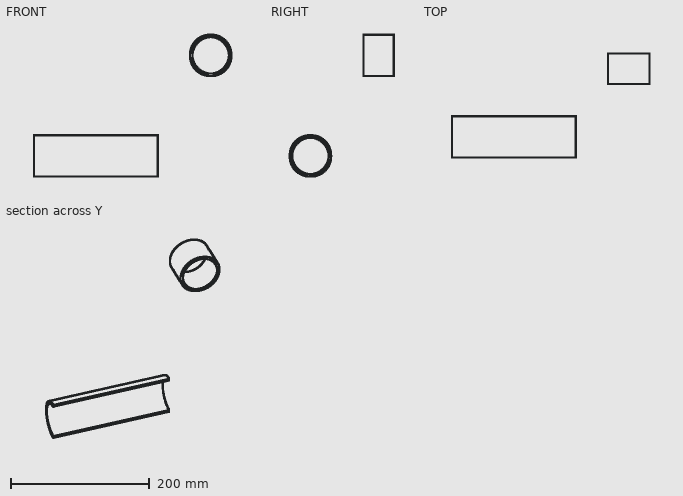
import cadquery as cq

outer_diameter = 60.2
bore_diameter = 52.5
outer_radius = outer_diameter / 2

long_tube_length = 178.8
short_tube_length = 44.2

overall_x = 285.2
overall_y = 150.5
overall_z = 205.3

short_tube_center_x = overall_x - outer_radius
short_tube_center_z = overall_z - outer_diameter
short_tube_back_y = overall_y - outer_radius


def make_tube(plane_name, start_center, length):
    """Plain tube from its starting end center, running along the plane's normal."""
    return (
        cq.Workplane(plane_name, origin=start_center)
        .circle(outer_radius)
        .circle(bore_diameter / 2)
        .extrude(length)
    )


long_tube = make_tube("YZ", (0, 0, 0), long_tube_length)

short_tube_start = (short_tube_center_x, short_tube_back_y, short_tube_center_z)
short_tube = make_tube("XZ", short_tube_start, short_tube_length)

result = cq.Compound.makeCompound([long_tube.val(), short_tube.val()])